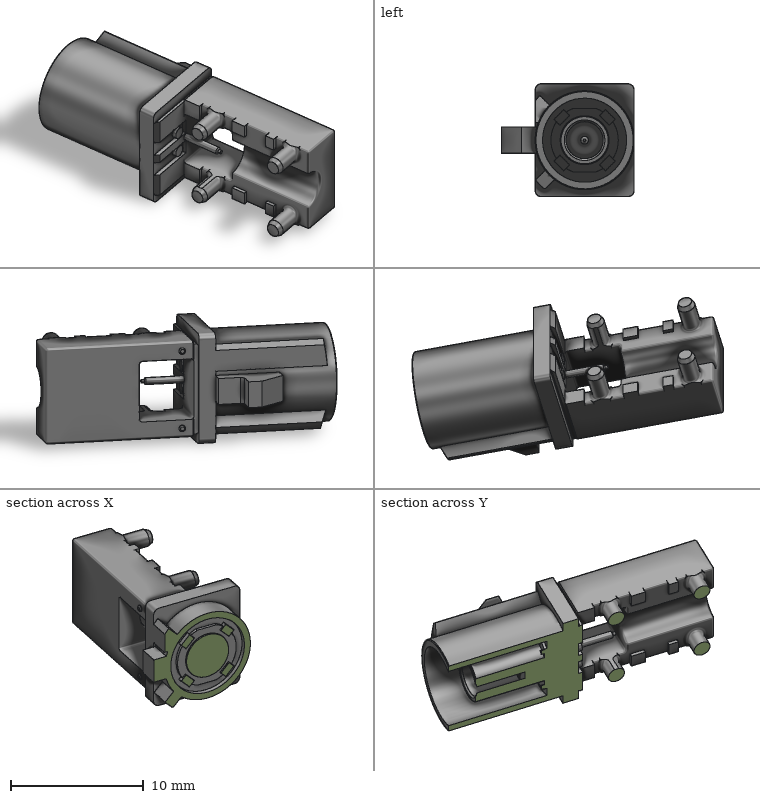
import cadquery as cq
import math


LENGTH = 22.45

BARREL_RADIUS = 3.73
BARREL_BORE_RADIUS = 3.17
BARREL_EDGE = 0.07
EMBED_RADIUS = BARREL_BORE_RADIUS + 0.22
BARREL_FLOOR_X = 8.08

FLANGE_X = 9.4
FLANGE_THICKNESS = 1.28
FLANGE_HALF_Y = BARREL_RADIUS
FLANGE_HEIGHT = 8.5
FLANGE_CORNER = 0.47
PLATE_X = FLANGE_X + FLANGE_THICKNESS
PLATE_THICKNESS = 0.34
PLATE_HALF_Z = 3.48
PLATE_BOTTOM_Y = -3.68
PLATE_SIDE_CHAMFER = 0.11
PLATE_SLOT_OUTER = 1.55
PLATE_SLOT_INNER = 0.35
PEG_RADIUS = 0.45
PEG_OFFSET = 0.85

LATCH_WIDTH = 2.0
LATCH_TOP_Y = 6.26
LATCH_FRONT_X = 4.45
LATCH_FRONT_Y = 4.74
LATCH_CREST_X = 6.42
LATCH_BACK_X = 7.45
LATCH_LEDGE_Y = 4.67
LATCH_LEDGE_CHAMFER = 0.25

RAIL_FRONT_X = 0.72
RAIL_OUTER_REACH = 4.75
UPPER_RAIL_SLANT = 0.3
LOWER_RAIL_SLANT = 0.45
UPPER_RAIL_BOTTOM_Z = 1.35
RAIL_BURIED_Y = 2.02
LOWER_RAIL_RADIAL_OFFSET = 0.5
LOWER_RAIL_TIP_Z = -3.64

TUBE_FRONT_X = 2.2
TUBE_RADIUS = 1.85
TUBE_BORE_RADIUS = 1.4
TUBE_OUTER_CHAMFER = 0.07
TUBE_LEAD_IN = 0.13
TUBE_FLOOR_X = 6.29
COLLAR_RADIUS = 2.54
COLLAR_HALF_Z = 2.4
COLLAR_HEIGHT = 0.22
TAB_WIDTH = 1.03
TAB_INNER = 2.1
TAB_OUTER = 2.75
TAB_HEIGHT = 0.45
SIGNAL_FRONT_X = 3.15
SIGNAL_FRONT_RADIUS = 0.3
SIGNAL_TIP_RADIUS = 0.1
SIGNAL_TIP_LENGTH = 0.34
SIGNAL_REAR_RADIUS = 0.27
SIGNAL_SHOULDER_X = 14.08
SIGNAL_SHOULDER_CHAMFER = 0.1
SIGNAL_END_RADIUS = 0.13
SIGNAL_END_X = 14.3

BLOCK_X = PLATE_X + PLATE_THICKNESS
BLOCK_TOP_Y = 3.43
BLOCK_HALF_Z = 3.7
BLOCK_ROUND = 0.2
BLOCK_FRONT_CHAMFER = 0.1
WINDOW_END_X = 15.25
WINDOW_HALF_Z = 2.33
WINDOW_CORNER = 0.25
CHANNEL_RADIUS = 1.53
PICK_MARGIN = 0.02

FOOT_Y = -0.27
FOOT_INNER_Z = 2.67
FEET = [
    (BLOCK_X, 12.48, WINDOW_HALF_Z),
    (15.51, 16.65, FOOT_INNER_Z),
    (18.6, 19.37, FOOT_INNER_Z),
]

PIN_XS = (13.8, 20.83)
PIN_Z = 2.99
PIN_RADIUS = 0.67
PIN_FLARE = 0.3
PIN_TIP_Y = -2.38
PIN_TIP_LENGTH = 0.38
PIN_TIP_RADIUS = 0.52

STUD_X = 11.95
STUD_RADIUS = 0.25
STUD_HEIGHT = 0.15
STUD_CHAMFER = 0.1


def box(x_range, y_range, z_range):
    """Box between the two limits given for each axis."""
    size = [high - low for low, high in (x_range, y_range, z_range)]
    corner = (x_range[0], y_range[0], z_range[0])
    return cq.Workplane("XY").box(*size, centered=False).translate(corner)


def rod(x_start, x_end, radius):
    """Round bar along X on the barrel axis."""
    return cq.Workplane("YZ", origin=(x_start, 0, 0)).circle(radius).extrude(x_end - x_start)


def turned(points):
    """Solid turned about the X axis from (X, radius) points."""
    return cq.Workplane("XY").polyline(points).close().revolve(360, (0, 0, 0), (1, 0, 0))


def barrel():
    shell = rod(0, FLANGE_X, BARREL_RADIUS).faces("<X").edges().chamfer(BARREL_EDGE)
    return shell.cut(rod(0, BARREL_FLOOR_X, BARREL_BORE_RADIUS))


def flange():
    half_z = FLANGE_HEIGHT / 2
    plate = box((FLANGE_X, PLATE_X), (-FLANGE_HALF_Y, FLANGE_HALF_Y), (-half_z, half_z))
    return plate.edges("|X").fillet(FLANGE_CORNER)


def latch():
    profile = [
        (LATCH_FRONT_X, EMBED_RADIUS),
        (LATCH_FRONT_X, LATCH_FRONT_Y),
        (LATCH_CREST_X, LATCH_TOP_Y),
        (LATCH_BACK_X, LATCH_TOP_Y),
        (LATCH_BACK_X, LATCH_LEDGE_Y + LATCH_LEDGE_CHAMFER),
        (LATCH_BACK_X + LATCH_LEDGE_CHAMFER, LATCH_LEDGE_Y),
        (FLANGE_X, LATCH_LEDGE_Y),
        (FLANGE_X, EMBED_RADIUS),
    ]
    return cq.Workplane("XY").polyline(profile).close().extrude(LATCH_WIDTH / 2, both=True)


def rail(outline, slant):
    """Rail along the barrel with a (Y, Z) outline and a front end that leans back outward."""
    bar = cq.Workplane("YZ").polyline(outline).close().extrude(FLANGE_X)
    envelope = turned([
        (RAIL_FRONT_X, 0),
        (RAIL_FRONT_X, BARREL_RADIUS),
        (RAIL_FRONT_X + slant, RAIL_OUTER_REACH),
        (FLANGE_X, RAIL_OUTER_REACH),
        (FLANGE_X, 0),
    ])
    return bar.intersect(envelope).cut(rod(0, FLANGE_X, EMBED_RADIUS))


def upper_rail():
    tip = RAIL_OUTER_REACH / math.sqrt(2)
    outline = [
        (RAIL_BURIED_Y, RAIL_BURIED_Y),
        (tip, tip),
        (FLANGE_HALF_Y, 2 * tip - FLANGE_HALF_Y),
        (FLANGE_HALF_Y, UPPER_RAIL_BOTTOM_Z),
        (RAIL_BURIED_Y, UPPER_RAIL_BOTTOM_Z),
    ]
    return rail(outline, UPPER_RAIL_SLANT)


def lower_rail():
    reach = RAIL_OUTER_REACH * math.sqrt(2)
    side = LOWER_RAIL_RADIAL_OFFSET * math.sqrt(2)
    outline = [
        (RAIL_BURIED_Y + side, -RAIL_BURIED_Y),
        ((reach + side) / 2, (side - reach) / 2),
        (reach + LOWER_RAIL_TIP_Z, LOWER_RAIL_TIP_Z),
        (-LOWER_RAIL_TIP_Z - side, LOWER_RAIL_TIP_Z),
        (RAIL_BURIED_Y, -RAIL_BURIED_Y - side),
    ]
    return rail(outline, LOWER_RAIL_SLANT)


def contact_tube():
    tube = rod(TUBE_FRONT_X, BARREL_FLOOR_X, TUBE_RADIUS)
    tube = tube.faces("<X").edges().chamfer(TUBE_OUTER_CHAMFER)
    bore = turned([
        (TUBE_FRONT_X, 0),
        (TUBE_FRONT_X, TUBE_BORE_RADIUS + TUBE_LEAD_IN),
        (TUBE_FRONT_X + TUBE_LEAD_IN, TUBE_BORE_RADIUS),
        (TUBE_FLOOR_X, TUBE_BORE_RADIUS),
        (TUBE_FLOOR_X, 0),
    ])
    return tube.cut(bore)


def collar():
    """Low collar with two flats and four diagonal tabs on the barrel floor."""
    front = BARREL_FLOOR_X - COLLAR_HEIGHT
    flats = box(
        (front, BARREL_FLOOR_X),
        (-COLLAR_RADIUS, COLLAR_RADIUS),
        (-COLLAR_HALF_Z, COLLAR_HALF_Z),
    )
    ring = rod(front, BARREL_FLOOR_X, COLLAR_RADIUS).intersect(flats)
    tab = box(
        (BARREL_FLOOR_X - TAB_HEIGHT, BARREL_FLOOR_X),
        (TAB_INNER, TAB_OUTER),
        (-TAB_WIDTH / 2, TAB_WIDTH / 2),
    )
    for angle in (45, 135, 225, 315):
        ring = ring.union(tab.rotate((0, 0, 0), (1, 0, 0), angle))
    return ring


def signal_pin():
    return turned([
        (SIGNAL_FRONT_X, 0),
        (SIGNAL_FRONT_X, SIGNAL_TIP_RADIUS),
        (SIGNAL_FRONT_X + SIGNAL_TIP_LENGTH, SIGNAL_FRONT_RADIUS),
        (FLANGE_X, SIGNAL_FRONT_RADIUS),
        (FLANGE_X, SIGNAL_REAR_RADIUS),
        (SIGNAL_SHOULDER_X - SIGNAL_SHOULDER_CHAMFER, SIGNAL_REAR_RADIUS),
        (SIGNAL_SHOULDER_X, SIGNAL_END_RADIUS),
        (SIGNAL_END_X, SIGNAL_END_RADIUS),
        (SIGNAL_END_X, 0),
    ])


def rear_plate():
    """Plate behind the flange, with two bottom notches that each hold a round peg."""
    x_range = (PLATE_X, BLOCK_X)
    plate = box(x_range, (PLATE_BOTTOM_Y, BLOCK_TOP_Y), (-PLATE_HALF_Z, PLATE_HALF_Z))
    plate = plate.faces("<X").edges("|Y").chamfer(PLATE_SIDE_CHAMFER)
    bevel = cq.Workplane("XY").polyline([
        (PLATE_X, PLATE_BOTTOM_Y),
        (BLOCK_X, PLATE_BOTTOM_Y),
        (BLOCK_X, PLATE_BOTTOM_Y + PLATE_THICKNESS),
    ]).close().extrude(PLATE_HALF_Z, both=True)
    slot = box(x_range, (PLATE_BOTTOM_Y, 0), (PLATE_SLOT_INNER, PLATE_SLOT_OUTER))
    peg = rod(*x_range, PEG_RADIUS).translate((0, -PEG_OFFSET, PEG_OFFSET))
    notch = slot.cut(peg)
    return plate.cut(bevel).cut(notch).cut(notch.mirror("XY"))


def rear_block():
    block = box((BLOCK_X, LENGTH), (0, BLOCK_TOP_Y), (-BLOCK_HALF_Z, BLOCK_HALF_Z))
    window = box((BLOCK_X, WINDOW_END_X), (0, BLOCK_TOP_Y), (-WINDOW_HALF_Z, WINDOW_HALF_Z))
    window = window.faces(">X").edges("|Y").fillet(WINDOW_CORNER)
    block = block.cut(window).cut(rod(WINDOW_END_X - WINDOW_CORNER, LENGTH, CHANNEL_RADIUS))
    underside = block.faces("<Y").edges("not(<X)")
    rear_end = block.faces(">X").edges()
    top_sides = block.faces(">Y").edges("<Z or >Z")
    mouth = block.edges("%CIRCLE").edges(cq.selectors.BoxSelector(
        (WINDOW_END_X - PICK_MARGIN, 0, -CHANNEL_RADIUS),
        (WINDOW_END_X + PICK_MARGIN, BLOCK_TOP_Y, CHANNEL_RADIUS),
    ))
    rounded = underside.vals() + rear_end.vals() + top_sides.vals() + mouth.vals()
    return block.newObject(rounded).fillet(BLOCK_ROUND)


def feet():
    pads = cq.Workplane("XY")
    for start, end, inner in FEET:
        for z_range in ((inner, BLOCK_HALF_Z), (-BLOCK_HALF_Z, -inner)):
            pads = pads.union(box((start, end), (FOOT_Y, BLOCK_ROUND), z_range))
    return pads


def window_corners():
    """Two fillets that round the window where it meets the rear plate."""
    y_range = (FOOT_Y, BLOCK_TOP_Y)
    z_range = (-WINDOW_HALF_Z, WINDOW_HALF_Z)
    strip = box((BLOCK_X, BLOCK_X + WINDOW_CORNER), y_range, z_range)
    opening = box((BLOCK_X, WINDOW_END_X), y_range, z_range)
    return strip.cut(opening.faces("<X").edges("|Y").fillet(WINDOW_CORNER))


def solder_pin(x, z):
    """Tapered pin with a flared root, trimmed flush with the block side and the window."""
    root = PIN_RADIUS + PIN_FLARE
    arc_drop = PIN_FLARE * (1 - math.sqrt(0.5))
    pin = (
        cq.Workplane("XY")
        .moveTo(0, BLOCK_ROUND)
        .lineTo(root, BLOCK_ROUND)
        .lineTo(root, 0)
        .threePointArc((PIN_RADIUS + arc_drop, -arc_drop), (PIN_RADIUS, -PIN_FLARE))
        .lineTo(PIN_RADIUS, PIN_TIP_Y + PIN_TIP_LENGTH)
        .lineTo(PIN_TIP_RADIUS, PIN_TIP_Y)
        .lineTo(0, PIN_TIP_Y)
        .close()
        .revolve(360, (0, 0, 0), (0, 1, 0))
        .translate((x, 0, z))
    )
    inner = WINDOW_HALF_Z if x < WINDOW_END_X else CHANNEL_RADIUS
    z_range = (inner, BLOCK_HALF_Z) if z > 0 else (-BLOCK_HALF_Z, -inner)
    return pin.intersect(box((BLOCK_X, LENGTH), (PIN_TIP_Y, BLOCK_ROUND), z_range))


def stud(z):
    stem = cq.Workplane("XZ", origin=(STUD_X, BLOCK_TOP_Y, z)).circle(STUD_RADIUS).extrude(-STUD_HEIGHT)
    return stem.faces(">Y").edges().chamfer(STUD_CHAMFER)


def rear_body():
    base = rear_block().union(feet())
    base = base.faces("<X").edges("|Y").edges("<Z or >Z").chamfer(BLOCK_FRONT_CHAMFER)
    base = base.union(rear_plate()).union(window_corners())
    for z in (-PIN_Z, PIN_Z):
        base = base.union(stud(z))
        for x in PIN_XS:
            base = base.union(solder_pin(x, z))
    return base


result = barrel()
for piece in (
    flange(),
    latch(),
    upper_rail(),
    lower_rail(),
    contact_tube(),
    collar(),
    signal_pin(),
    rear_body(),
):
    result = result.union(piece)